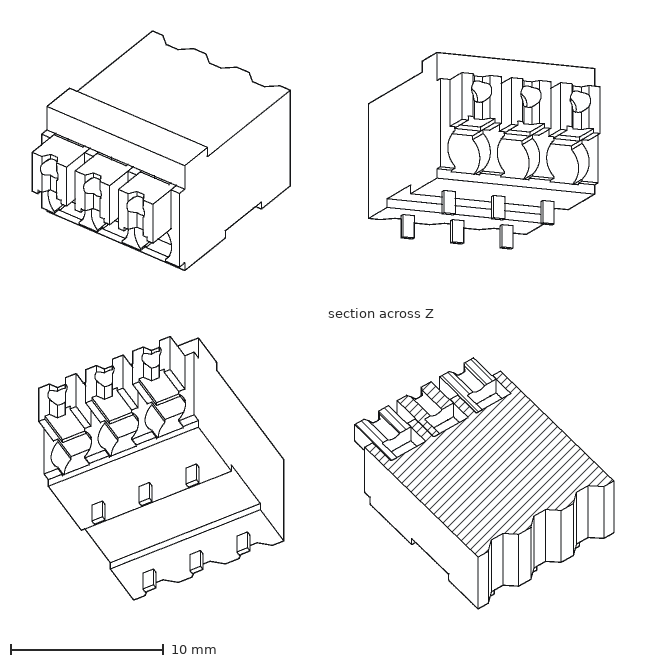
import cadquery as cq

POLE_COUNT = 3
POLE_PITCH = 3.5
POLE_CENTRES = [(i - (POLE_COUNT - 1) / 2) * POLE_PITCH for i in range(POLE_COUNT)]

HOUSING_WIDTH = 11.2
OVERALL_DEPTH = 14.3
BUTTON_PROTRUSION = 2.0
HOUSING_DEPTH = OVERALL_DEPTH - BUTTON_PROTRUSION
HOUSING_HEIGHT = 8.5
ROOF_DROP = 0.75
BAR_BACK = 3.12
FRONT_STEP = 0.59
LEDGE_Z = 6.59
LIP_Z = 0.63
UNDERCUT_HEIGHT = 0.59
UNDERCUT_FRONT = 5.12
UNDERCUT_BACK = 9.08

REAR_GROOVE_MOUTH = 2.49
REAR_GROOVE_FLOOR = 0.96
REAR_GROOVE_DEPTH = 0.69

BUTTON_WIDTH = 2.8
BUTTON_HEIGHT = 3.16
BUTTON_BOTTOM = LEDGE_Z - BUTTON_HEIGHT
BUTTON_FRONT = -BUTTON_PROTRUSION
HEAD_BACK = 0.43
BUTTON_SLOT_DEPTH = 2.0
NOTCH_WIDTH = 1.87
NOTCH_HEIGHT = 0.27
STEM_WIDTH = (BUTTON_WIDTH - NOTCH_WIDTH) / 2
BUTTON_GROOVE_MOUTH = 1.2
BUTTON_GROOVE_FLOOR = 0.59
BUTTON_GROOVE_DEPTH = 0.53
TOOL_HOLE_DIAMETER = 1.43
TOOL_HOLE_DROP = 1.03

ENTRY_OFFSET = -0.06
ENTRY_WIDTH = 2.0
ENTRY_BULGE_WIDTH = 3.02
ENTRY_BOTTOM = 0.53
BULGE_BOTTOM = 0.76
BULGE_TOP = 3.17
ENTRY_DEPTH = 1.8

PIN_WIDTH = 0.8
PIN_THICKNESS = 0.35
PIN_LENGTH = 1.5
FRONT_PIN_Y = 3.62
PIN_ROW_SPACING = 6.99
PIN_ROWS = [FRONT_PIN_Y, FRONT_PIN_Y + PIN_ROW_SPACING]


def box(x_min, x_max, y_min, y_max, z_min, z_max):
    """Axis-aligned box given by its limits."""
    size = (x_max - x_min, y_max - y_min, z_max - z_min)
    return cq.Workplane("XY").box(*size, centered=False).translate((x_min, y_min, z_min))


def vertical_groove(centre_x, mouth_y, floor_y, mouth_width, floor_width):
    """Upright trapezoidal cutter, as tall as the housing."""
    return (
        cq.Workplane("XY")
        .moveTo(centre_x - mouth_width / 2, mouth_y)
        .lineTo(centre_x - floor_width / 2, floor_y)
        .lineTo(centre_x + floor_width / 2, floor_y)
        .lineTo(centre_x + mouth_width / 2, mouth_y)
        .close()
        .extrude(HOUSING_HEIGHT)
    )


def housing_block():
    """Side profile of the housing, extruded across its width."""
    roof_z = HOUSING_HEIGHT - ROOF_DROP
    profile = [
        (0, LIP_Z),
        (0, LEDGE_Z),
        (FRONT_STEP, LEDGE_Z),
        (FRONT_STEP, HOUSING_HEIGHT),
        (BAR_BACK, HOUSING_HEIGHT),
        (BAR_BACK, roof_z),
        (HOUSING_DEPTH, roof_z),
        (HOUSING_DEPTH, 0),
        (UNDERCUT_BACK, 0),
        (UNDERCUT_BACK, UNDERCUT_HEIGHT),
        (UNDERCUT_FRONT, UNDERCUT_HEIGHT),
        (UNDERCUT_FRONT, 0),
        (FRONT_STEP, 0),
        (FRONT_STEP, LIP_Z),
    ]
    return cq.Workplane("YZ").polyline(profile).close().extrude(HOUSING_WIDTH / 2, both=True)


def rear_groove(pole_x):
    return vertical_groove(
        pole_x,
        HOUSING_DEPTH,
        HOUSING_DEPTH - REAR_GROOVE_DEPTH,
        REAR_GROOVE_MOUTH,
        REAR_GROOVE_FLOOR,
    )


def button_slot(pole_x):
    half = BUTTON_WIDTH / 2
    return box(pole_x - half, pole_x + half, 0, BUTTON_SLOT_DEPTH, BUTTON_BOTTOM, LEDGE_Z)


def wire_entry(pole_x):
    """Cutter for the wire opening, which joins the button slot above it."""
    axis_x = pole_x + ENTRY_OFFSET
    left = axis_x - ENTRY_WIDTH / 2
    right = axis_x + ENTRY_WIDTH / 2
    bulge_z = (BULGE_BOTTOM + BULGE_TOP) / 2
    return (
        cq.Workplane("XZ")
        .moveTo(left, ENTRY_BOTTOM)
        .lineTo(right, ENTRY_BOTTOM)
        .lineTo(right, BULGE_BOTTOM)
        .threePointArc((axis_x + ENTRY_BULGE_WIDTH / 2, bulge_z), (right, BULGE_TOP))
        .lineTo(right, BUTTON_BOTTOM)
        .lineTo(left, BUTTON_BOTTOM)
        .lineTo(left, BULGE_TOP)
        .threePointArc((axis_x - ENTRY_BULGE_WIDTH / 2, bulge_z), (left, BULGE_BOTTOM))
        .close()
        .extrude(-ENTRY_DEPTH)
    )


def make_housing():
    body = housing_block()
    for pole_x in POLE_CENTRES:
        body = body.cut(rear_groove(pole_x)).cut(button_slot(pole_x)).cut(wire_entry(pole_x))
    return body


def make_button(pole_x):
    """Push button: a grooved head, with a narrow stem and a thin floor plate behind it."""
    left = pole_x - BUTTON_WIDTH / 2
    right = pole_x + BUTTON_WIDTH / 2
    head = box(left, right, BUTTON_FRONT, HEAD_BACK, BUTTON_BOTTOM, LEDGE_Z)
    stem = box(right - STEM_WIDTH, right, HEAD_BACK, BUTTON_SLOT_DEPTH, BUTTON_BOTTOM, LEDGE_Z)
    floor_plate = box(
        left,
        right,
        HEAD_BACK,
        BUTTON_SLOT_DEPTH,
        BUTTON_BOTTOM,
        BUTTON_BOTTOM + NOTCH_HEIGHT,
    )
    front_groove = vertical_groove(
        pole_x,
        BUTTON_FRONT,
        BUTTON_FRONT + BUTTON_GROOVE_DEPTH,
        BUTTON_GROOVE_MOUTH,
        BUTTON_GROOVE_FLOOR,
    )
    bottom_notch = box(
        pole_x - NOTCH_WIDTH / 2,
        pole_x + NOTCH_WIDTH / 2,
        BUTTON_FRONT,
        HEAD_BACK,
        BUTTON_BOTTOM,
        BUTTON_BOTTOM + NOTCH_HEIGHT,
    )
    tool_hole = (
        cq.Workplane("XZ", origin=(pole_x, BUTTON_FRONT, LEDGE_Z - TOOL_HOLE_DROP))
        .circle(TOOL_HOLE_DIAMETER / 2)
        .extrude(BUTTON_FRONT - HEAD_BACK)
    )
    button = head.union(stem).union(floor_plate)
    return button.cut(front_groove).cut(bottom_notch).cut(tool_hole)


def make_pin(pole_x, row_y):
    """Solder pin standing below the underside of the housing."""
    return box(
        pole_x - PIN_WIDTH / 2,
        pole_x + PIN_WIDTH / 2,
        row_y - PIN_THICKNESS / 2,
        row_y + PIN_THICKNESS / 2,
        -PIN_LENGTH,
        0,
    )


housing = make_housing()
buttons = [make_button(pole_x) for pole_x in POLE_CENTRES]
pins = [make_pin(pole_x, row_y) for row_y in PIN_ROWS for pole_x in POLE_CENTRES]

result = cq.Compound.makeCompound([body.solids().val() for body in [housing, *buttons, *pins]])